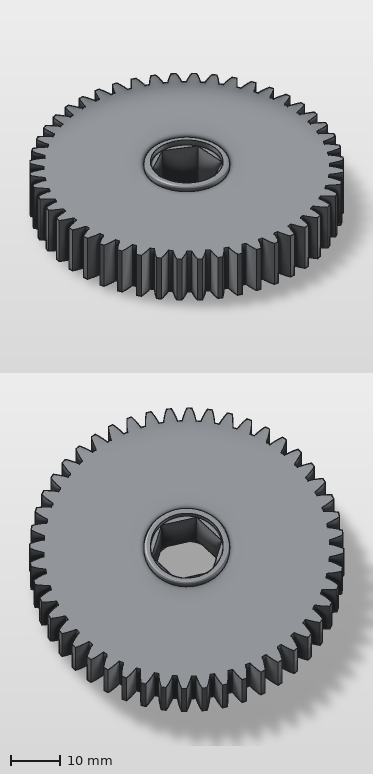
import cadquery as cq
import math

outer_diameter = 63.5
tooth_count = 48
dedendum_factor = 1.25
module = outer_diameter / (tooth_count + 2)
pitch_radius = module * tooth_count / 2
tip_radius = outer_diameter / 2
root_radius = pitch_radius - dedendum_factor * module
tooth_pitch = 2 * math.pi / tooth_count

root_thickness = 2.85
pitch_thickness = math.pi * module / 2
tip_thickness = 1.0

total_height = 12.7
face_width = 10.3
hub_diameter = 17.4
hub_edge_radius = 0.65

hex_across_flats = 12.7
hex_across_corners = hex_across_flats / math.cos(math.pi / 6)
recess_diameter = hex_across_corners
recess_depth = 1.3


def polar(radius, angle):
    return (radius * math.cos(angle), radius * math.sin(angle))


def make_gear():
    """Toothed disc with one tooth centred on +X."""
    root_half = root_thickness / (2 * root_radius)
    pitch_half = pitch_thickness / (2 * pitch_radius)
    tip_half = tip_thickness / (2 * tip_radius)
    bottom = -face_width / 2
    outline = cq.Workplane("XY", origin=(0, 0, bottom)).moveTo(*polar(root_radius, -root_half))
    for index in range(tooth_count):
        center = index * tooth_pitch
        gap_center = center + tooth_pitch / 2
        next_root = center + tooth_pitch - root_half
        outline = (
            outline
            .threePointArc(polar(pitch_radius, center - pitch_half), polar(tip_radius, center - tip_half))
            .threePointArc(polar(tip_radius, center), polar(tip_radius, center + tip_half))
            .threePointArc(polar(pitch_radius, center + pitch_half), polar(root_radius, center + root_half))
            .threePointArc(polar(root_radius, gap_center), polar(root_radius, next_root))
        )
    return outline.close().extrude(face_width)


def make_hub():
    """Round hub standing proud of both faces, with rounded rims."""
    hub = cq.Workplane("XY").circle(hub_diameter / 2).extrude(total_height / 2, both=True)
    return hub.faces("|Z").edges().fillet(hub_edge_radius)


def make_bore():
    """Through hexagon with corners on the X axis, plus the two end recesses."""
    bore = cq.Workplane("XY").polygon(6, hex_across_corners).extrude(total_height / 2, both=True)
    for bottom in (-total_height / 2, total_height / 2 - recess_depth):
        recess = cq.Workplane("XY", origin=(0, 0, bottom)).circle(recess_diameter / 2).extrude(recess_depth)
        bore = bore.union(recess)
    return bore


result = make_gear().union(make_hub()).cut(make_bore())